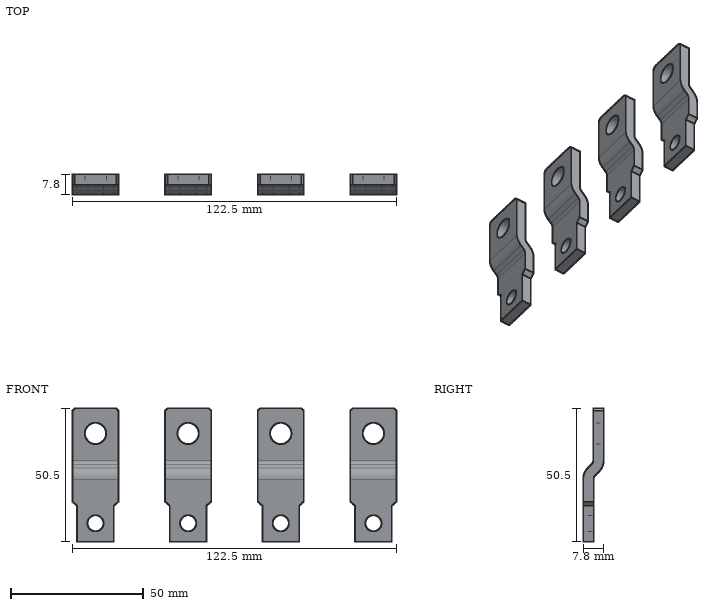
import cadquery as cq
import math

link_count = 4
row_length = 122.5
link_width = 17.5
link_pitch = (row_length - link_width) / (link_count - 1)

link_height = 50.5
overall_depth = 7.8
thickness = 4.0
bend_offset = overall_depth - thickness
bend_angle = math.radians(45)
inner_bend_radius = 2.0
outer_bend_radius = inner_bend_radius + thickness
lower_bend_z = 23.6

tang_width = 14.0
shoulder_z = 15.2
shoulder_step = (link_width - tang_width) / 2
shoulder_rise = 1.6
corner_chamfer = 1.0

upper_hole_diameter = 8.0
upper_hole_z = link_height - 9.5
lower_hole_diameter = 6.0
lower_hole_z = 7.0


def make_bent_strip():
    """Full-width strip with an S-bend, centred on X, front of the lower leg at Y = 0."""
    tangent_ratio = math.tan(bend_angle / 2)
    slope_rise = bend_offset / math.tan(bend_angle)
    front_lower_knee = lower_bend_z + outer_bend_radius * tangent_ratio
    front_upper_knee = front_lower_knee + slope_rise
    back_lower_knee = lower_bend_z + inner_bend_radius * tangent_ratio
    back_upper_knee = back_lower_knee + slope_rise

    strip = (
        cq.Workplane("YZ")
        .polyline([
            (0, 0),
            (0, front_lower_knee),
            (bend_offset, front_upper_knee),
            (bend_offset, link_height),
            (overall_depth, link_height),
            (overall_depth, back_upper_knee),
            (thickness, back_lower_knee),
            (thickness, 0),
        ])
        .close()
        .extrude(link_width / 2, both=True)
    )

    outer_knees = [(0, front_lower_knee), (overall_depth, back_upper_knee)]
    inner_knees = [(bend_offset, front_upper_knee), (thickness, back_lower_knee)]
    for knees, radius in ((outer_knees, outer_bend_radius), (inner_knees, inner_bend_radius)):
        for y, z in knees:
            strip = strip.edges(cq.selectors.NearestToPointSelector((0, y, z))).fillet(radius)
    return strip


def make_front_outline():
    """Prism of the link's front shape: chamfered top, sloped shoulders and narrow tang."""
    half_width = link_width / 2
    half_tang = half_width - shoulder_step
    right_side = [
        (half_tang, 0),
        (half_tang, shoulder_z - shoulder_rise),
        (half_width, shoulder_z),
        (half_width, link_height - corner_chamfer),
        (half_width - corner_chamfer, link_height),
    ]
    left_side = [(-x, z) for x, z in reversed(right_side)]
    return cq.Workplane("XZ").polyline(right_side + left_side).close().extrude(-overall_depth)


def make_hole(diameter, z):
    """Cylinder through the full depth of the link."""
    return cq.Workplane("XZ").center(0, z).circle(diameter / 2).extrude(-overall_depth)


def make_link():
    return (
        make_bent_strip()
        .intersect(make_front_outline())
        .cut(make_hole(upper_hole_diameter, upper_hole_z))
        .cut(make_hole(lower_hole_diameter, lower_hole_z))
    )


link = make_link()
links = []
for index in range(link_count):
    link_x = (index - (link_count - 1) / 2) * link_pitch
    links.append(link.translate((link_x, 0, 0)).val())

result = cq.Compound.makeCompound([solid for body in links for solid in body.Solids()])